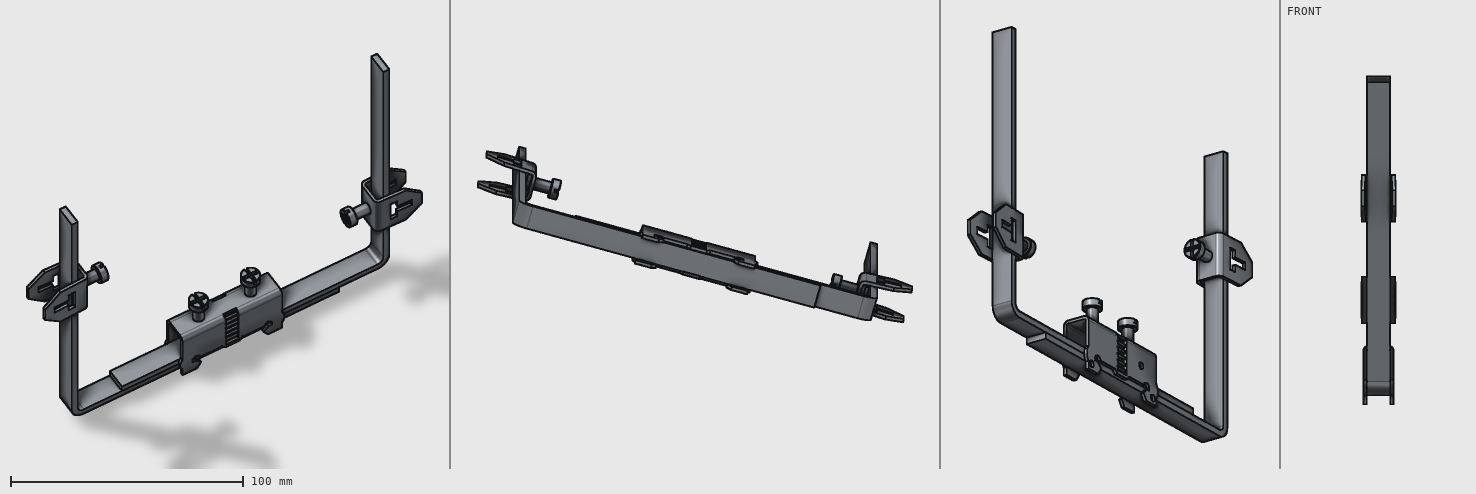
import cadquery as cq

bar_width = 10.0
bar_thickness = 3.0
bar_bend_radius = 6.0
bar_outer_y = 79.8
upper_foot_z = 6.8
lower_foot_z = upper_foot_z - bar_thickness
upper_foot_top = upper_foot_z + bar_thickness
tall_bar_top = 140.9
short_bar_top = 138.2
foot_end_y = 54.6

sheet = 1.5
housing_height = 25.2
housing_half_length = 25.0
housing_half_width = bar_width / 2 + sheet
housing_bend_radius = 2.5
wall_bottom_z = upper_foot_z
bulge_depth = 1.1
bulge_bottom_z = 3.6
bulge_top_z = 10.6
bulge_mid_z = (bulge_bottom_z + bulge_top_z) / 2
hook_root_y = 19.9
hook_ledge_y = 18.2
hook_ledge_z = 5.5
hook_tip_y = 15.7
hook_tip_z = 3.0
hook_bottom_y = 17.8
hook_relief_radius = 1.9
hook_relief_z = 6.6
tab_root_half = 5.1
tab_half = 3.6
tab_z = 5.1
side_hole_diameter = 3.0
foot_hole_y = 22.5
foot_hole_z = 3.0
side_hole_y = -14.0
side_hole_z = 15.2

window_length = 6.5
rung_radius = 0.5
rung_count = 6
lowest_rung_z = 9.0
highest_rung_z = 23.7
rung_pitch = (highest_rung_z - lowest_rung_z) / (rung_count - 1)

shank_diameter = 5.1
head_diameter = 8.5
head_height = 3.8
head_chamfer = 0.28
slot_width = 1.3
slot_depth = 1.9
cross_width = 1.5
cross_length = 6.3
housing_screw_y = 13.0
housing_screw_top = 37.2

clamp_tip_y = 94.8
clamp_length = 22.7
clamp_height = 20.0
clamp_base_half_width = 6.6
clamp_tip_half_width = 7.49
clamp_bend_radius = 2.5
clamp_shoulder_length = 8.0
clamp_tip_half_height = 3.5
tee_width = 3.5
tee_head_start = 7.2
tee_head_height = 10.2
tee_end = 17.8
clamp_collar_diameter = 7.0
clamp_collar_length = 1.7
clamp_screw_reach = 11.4
low_clamp_z = 44.7
high_clamp_z = 88.3
clamp_base_y = clamp_tip_y - clamp_length
bar_gap = bar_outer_y - bar_thickness - clamp_base_y


def centred_prism(outline, width):
    """Extrude an outline drawn in the YZ plane to equal depths along -X and +X."""
    return outline.close().extrude(width / 2, both=True)


def make_bar(foot_z, top_z):
    """L-shaped strip with its upright on the +Y side."""
    inner_y = bar_outer_y - bar_thickness
    foot_top = foot_z + bar_thickness
    outline = (
        cq.Workplane("YZ")
        .moveTo(-foot_end_y, foot_z)
        .lineTo(bar_outer_y - bar_bend_radius, foot_z)
        .radiusArc((bar_outer_y, foot_z + bar_bend_radius), -bar_bend_radius)
        .lineTo(bar_outer_y, top_z)
        .lineTo(inner_y, top_z)
        .lineTo(inner_y, foot_z + bar_bend_radius)
        .radiusArc((bar_outer_y - bar_bend_radius, foot_top), bar_bend_radius - bar_thickness)
        .lineTo(-foot_end_y, foot_top)
    )
    return centred_prism(outline, bar_width)


def make_screw(length):
    """Screw pointing down, with the top of its head at the origin."""
    head = (
        cq.Workplane("XY")
        .circle(head_diameter / 2)
        .extrude(-head_height)
        .faces("<Z or >Z")
        .chamfer(head_chamfer)
    )
    slot = cq.Workplane("XY").rect(2 * head_diameter, slot_width).extrude(-slot_depth)
    cross = cq.Workplane("XY").rect(cross_width, cross_length).extrude(-slot_depth)
    shank = cq.Workplane("XY").circle(shank_diameter / 2).extrude(-length)
    return head.union(shank).cut(slot).cut(cross)


def housing_side():
    """Solid with the side outline of the housing walls, hooks and middle tab."""
    width = 2 * housing_half_width
    end = housing_half_length
    right_half = (
        cq.Workplane("YZ")
        .moveTo(0, housing_height)
        .lineTo(end, housing_height)
        .lineTo(end, bulge_top_z)
        .threePointArc((end + bulge_depth, bulge_mid_z), (end, bulge_bottom_z))
        .lineTo(end, 0)
        .lineTo(hook_bottom_y, 0)
        .lineTo(hook_tip_y, hook_tip_z)
        .lineTo(hook_ledge_y, hook_ledge_z)
        .lineTo(hook_root_y, hook_ledge_z)
        .lineTo(hook_root_y, wall_bottom_z)
        .lineTo(tab_root_half, wall_bottom_z)
        .lineTo(tab_half, tab_z)
        .lineTo(0, tab_z)
    )
    half = centred_prism(right_half, width)
    relief = (
        cq.Workplane("YZ")
        .center(hook_root_y - hook_relief_radius, hook_relief_z)
        .circle(hook_relief_radius)
        .extrude(housing_half_width, both=True)
    )
    above_ledge = (
        cq.Workplane("XY")
        .box(width, 2 * hook_root_y, housing_height, centered=(True, True, False))
        .translate((0, 0, hook_ledge_z))
    )
    half = half.cut(relief.intersect(above_ledge))
    return half.union(half.mirror("XZ"))


def housing_channel():
    """Bent channel section, longer than the housing at both ends."""
    length = 2 * (housing_half_length + bulge_depth)
    outer = (
        cq.Workplane("XY")
        .box(2 * housing_half_width, length, housing_height, centered=(True, True, False))
        .edges("|Y and >Z")
        .fillet(housing_bend_radius)
    )
    inner = (
        cq.Workplane("XY")
        .box(bar_width, length, housing_height - sheet, centered=(True, True, False))
        .edges("|Y and >Z")
        .fillet(housing_bend_radius - sheet)
    )
    return outer.cut(inner)


def make_housing():
    housing = housing_channel().intersect(housing_side())

    screw_holes = (
        cq.Workplane("XY")
        .pushPoints([(0, housing_screw_y), (0, -housing_screw_y)])
        .circle(shank_diameter / 2)
        .extrude(housing_height)
    )
    wall_holes = (
        cq.Workplane("YZ")
        .pushPoints([(foot_hole_y, foot_hole_z), (-foot_hole_y, foot_hole_z), (side_hole_y, side_hole_z)])
        .circle(side_hole_diameter / 2)
        .extrude(-housing_half_width)
    )
    housing = housing.cut(screw_holes).cut(wall_holes)

    flat_half_width = housing_half_width - housing_bend_radius
    for side in (-1, 1):
        window = (
            cq.Workplane("XY")
            .box(housing_bend_radius, window_length, housing_height, centered=(True, True, False))
            .translate((side * (flat_half_width + housing_bend_radius / 2), 0, wall_bottom_z))
        )
        housing = housing.cut(window)
        rung_x = side * (bar_width / 2 + rung_radius)
        for index in range(rung_count):
            rung = (
                cq.Workplane("XZ")
                .center(rung_x, lowest_rung_z + index * rung_pitch)
                .circle(rung_radius)
                .extrude(window_length / 2 + rung_radius, both=True)
            )
            housing = housing.union(rung)
    return housing


def make_housing_screw(y):
    screw = make_screw(housing_screw_top - upper_foot_top)
    return screw.translate((0, y, housing_screw_top))


def clamp_section():
    """U-shaped sheet with slightly spread arms; the base is at Y = 0, the arms point to +Y."""
    base = clamp_base_half_width
    tip = clamp_tip_half_width
    outer = (
        cq.Workplane("XY")
        .polyline([(-base, 0), (base, 0), (tip, clamp_length), (-tip, clamp_length)])
        .close()
        .extrude(clamp_height / 2, both=True)
        .edges("|Z and <Y")
        .fillet(clamp_bend_radius)
    )
    inner = (
        cq.Workplane("XY")
        .polyline([
            (sheet - base, sheet),
            (base - sheet, sheet),
            (tip - sheet, clamp_length),
            (sheet - tip, clamp_length),
        ])
        .close()
        .extrude(clamp_height / 2, both=True)
        .edges("|Z and <Y")
        .fillet(clamp_bend_radius - sheet)
    )
    return outer.cut(inner)


def make_clamp(z):
    """Clip with its fixed clamping screw, placed on the +Y upright at height z."""
    half = clamp_height / 2
    shoulder_y = clamp_length - clamp_shoulder_length
    width = 2 * clamp_tip_half_width
    pointed_side = centred_prism(
        cq.Workplane("YZ").polyline([
            (0, -half),
            (shoulder_y, -half),
            (clamp_length, -clamp_tip_half_height),
            (clamp_length, clamp_tip_half_height),
            (shoulder_y, half),
            (0, half),
        ]),
        width,
    )
    tee_head = (
        cq.Workplane("XY")
        .box(width, tee_width, tee_head_height, centered=(True, False, True))
        .translate((0, tee_head_start, 0))
    )
    tee_stem = (
        cq.Workplane("XY")
        .box(width, tee_end - tee_head_start, tee_width, centered=(True, False, True))
        .translate((0, tee_head_start, 0))
    )
    screw = (
        make_screw(clamp_screw_reach + bar_gap)
        .rotate((0, 0, 0), (0, 0, 1), 90)
        .rotate((0, 0, 0), (1, 0, 0), 90)
        .translate((0, -clamp_screw_reach, 0))
    )
    collar = (
        cq.Workplane("XZ", origin=(0, sheet, 0))
        .circle(clamp_collar_diameter / 2)
        .extrude(-clamp_collar_length)
    )
    clip = clamp_section().intersect(pointed_side).cut(tee_head).cut(tee_stem)
    return clip.union(collar).union(screw).translate((0, clamp_base_y, z))


def turn_around(body):
    """Half a turn about Z, from the +Y end to the -Y end."""
    return body.rotate((0, 0, 0), (0, 0, 1), 180)


tall_bar = make_bar(upper_foot_z, tall_bar_top)
short_bar = turn_around(make_bar(lower_foot_z, short_bar_top))
housing = make_housing()
housing_screws = [make_housing_screw(y) for y in (housing_screw_y, -housing_screw_y)]
clamps = [make_clamp(low_clamp_z), turn_around(make_clamp(high_clamp_z))]

result = cq.Compound.makeCompound([
    tall_bar.val(),
    short_bar.val(),
    housing.val(),
    *[screw.val() for screw in housing_screws],
    *[clamp.val() for clamp in clamps],
])